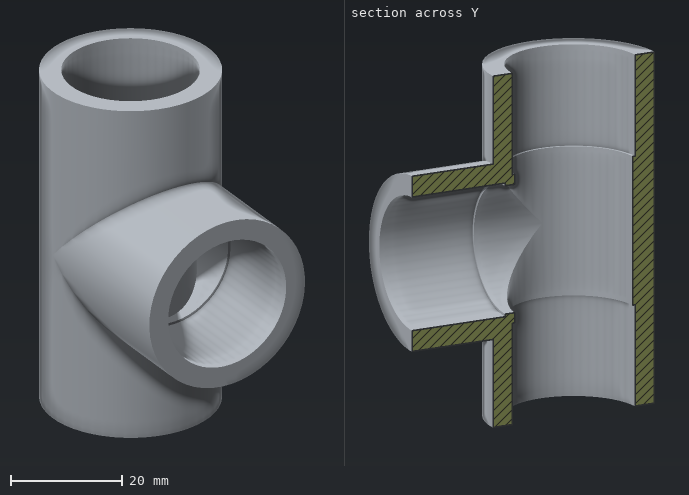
import cadquery as cq

run_length = 66.0
outer_diameter = 33.0
bore_diameter = 24.0
socket_diameter = 25.0
socket_depth = 19.0

half_run = run_length / 2
branch_reach = half_run
bore_reach = half_run - socket_depth


def arm(diameter, direction, start, end):
    """Cylinder along a direction from the tee centre, between two distances."""
    base = cq.Vector(*direction) * start
    solid = cq.Solid.makeCylinder(diameter / 2, end - start, base, cq.Vector(*direction))
    return cq.Workplane(obj=solid)


UP = (0, 0, 1)
DOWN = (0, 0, -1)
BRANCH = (1, 0, 0)

body = arm(outer_diameter, UP, -half_run, half_run)
body = body.union(arm(outer_diameter, BRANCH, 0, branch_reach))

body = body.cut(arm(bore_diameter, UP, -bore_reach, bore_reach))
body = body.cut(arm(bore_diameter, BRANCH, 0, bore_reach))

for direction in (UP, DOWN, BRANCH):
    body = body.cut(arm(socket_diameter, direction, bore_reach, half_run))

result = body